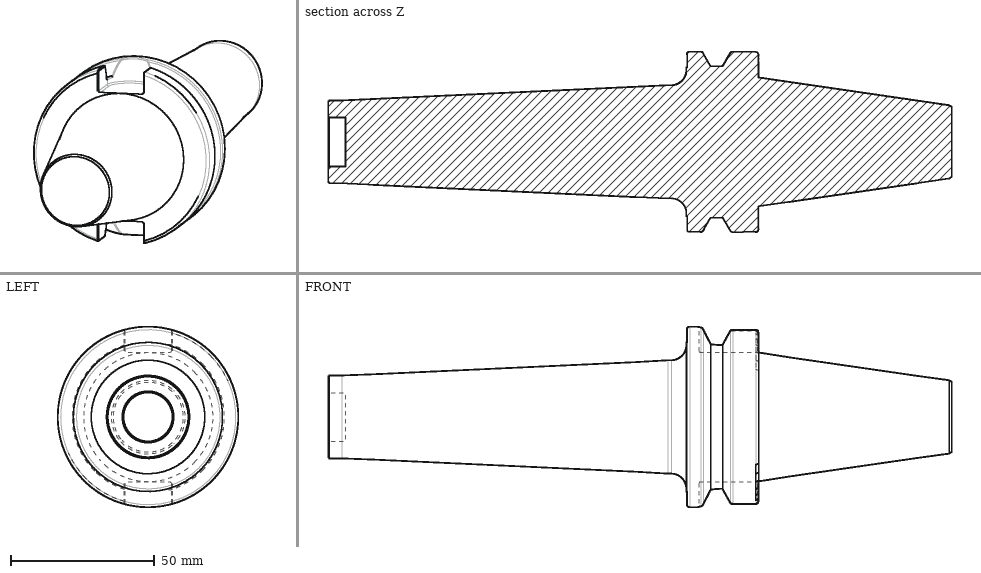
import cadquery as cq
import math

total_length = 217.4
taper_length = 65.4
nose_x = -total_length / 2
tail_x = total_length / 2
gauge_x = tail_x - taper_length

gauge_radius = 44.45 / 2
taper_slope = 7 / 24 / 2
tail_radius = gauge_radius - taper_length * taper_slope
tail_chamfer_length = 1.0
tail_chamfer_drop = 0.5

flange_radius = 63 / 2
flange_width = 25
flange_gap = 2
flange_fillet = 1.0
flange_back_x = gauge_x - flange_gap
flange_front_x = flange_back_x - flange_width
flange_back_taper_radius = gauge_radius + flange_gap * taper_slope

groove_centre_x = gauge_x - 16.6
groove_floor_radius = 53 / 2
groove_floor_width = 4.2
groove_flank_angle = 60

ring_radius = 26
ring_height = 0.2

nose_radius = 29 / 2
nose_chamfer = 0.5
nose_straight_length = 4.8
neck_radius = 39.6 / 2
neck_straight_length = 1.2
neck_fillet = 5.2

bore_radius = 17 / 2
bore_depth = 6
bore_chamfer = 0.5

slot_width = 16.1
slot_length = 20.9
slot_floor_height = 22.6
slot_floor_fillet = 0.6
slot_edge_break = 0.4

tolerance = 0.01


def make_body():
    """Revolve the profile of nose, bore, neck, flange and taper about X."""
    flank_rise = flange_radius - groove_floor_radius
    floor_half = groove_floor_width / 2
    mouth_half = floor_half + flank_rise / math.tan(math.radians(groove_flank_angle))
    ring_x = flange_front_x - ring_height
    fillet_x = ring_x - neck_fillet
    arc_mid_offset = neck_fillet * (1 - math.sqrt(0.5))
    profile = (
        cq.Workplane("XY")
        .moveTo(nose_x + bore_depth, 0)
        .lineTo(nose_x + bore_depth, bore_radius)
        .lineTo(nose_x + bore_chamfer, bore_radius)
        .lineTo(nose_x, bore_radius + bore_chamfer)
        .lineTo(nose_x, nose_radius - nose_chamfer)
        .lineTo(nose_x + nose_chamfer, nose_radius)
        .lineTo(nose_x + nose_straight_length, nose_radius)
        .lineTo(fillet_x - neck_straight_length, neck_radius)
        .lineTo(fillet_x, neck_radius)
        .threePointArc(
            (ring_x - arc_mid_offset, neck_radius + arc_mid_offset),
            (ring_x, neck_radius + neck_fillet),
        )
        .lineTo(ring_x, ring_radius)
        .lineTo(flange_front_x, ring_radius)
        .lineTo(flange_front_x, flange_radius)
        .lineTo(groove_centre_x - mouth_half, flange_radius)
        .lineTo(groove_centre_x - floor_half, groove_floor_radius)
        .lineTo(groove_centre_x + floor_half, groove_floor_radius)
        .lineTo(groove_centre_x + mouth_half, flange_radius)
        .lineTo(flange_back_x, flange_radius)
        .lineTo(flange_back_x, flange_back_taper_radius)
        .lineTo(tail_x - tail_chamfer_length, tail_radius + tail_chamfer_length * taper_slope)
        .lineTo(tail_x, tail_radius - tail_chamfer_drop)
        .lineTo(tail_x, 0)
        .close()
    )
    return profile.revolve(360, (0, 0, 0), (1, 0, 0))


def round_flange(body):
    """Round the four circular edges on the outside of the flange."""

    def on_flange_rim(edge):
        return edge.geomType() == "CIRCLE" and math.isclose(edge.radius(), flange_radius, abs_tol=tolerance)

    rims = body.edges().filter(on_flange_rim)
    return rims.fillet(flange_fillet)


def make_slot():
    """Drive slot on the +Z side: round front end, filleted floor, open at the back of the flange."""
    half_width = slot_width / 2
    arc_centre_x = flange_back_x - slot_length + half_width
    overrun_x = flange_back_x + flange_gap
    return (
        cq.Workplane("XY", origin=(0, 0, slot_floor_height))
        .moveTo(overrun_x, -half_width)
        .lineTo(arc_centre_x, -half_width)
        .threePointArc((arc_centre_x - half_width, 0), (arc_centre_x, half_width))
        .lineTo(overrun_x, half_width)
        .close()
        .extrude(flange_radius)
        .faces("<Z")
        .edges("not >X")
        .fillet(slot_floor_fillet)
    )


def make_corner_breaks():
    """Wedges that break the straight slot corners: along the rear rim and up the back face."""
    half_width = slot_width / 2
    rim_height = math.sqrt(flange_radius**2 - half_width**2)
    wedge_size = flange_radius - rim_height
    rim_base = rim_height - slot_edge_break
    rim_wedge = (
        cq.Workplane("YZ", origin=(groove_centre_x, 0, 0))
        .moveTo(half_width, rim_base)
        .lineTo(half_width + wedge_size, rim_base + wedge_size)
        .lineTo(half_width, rim_base + wedge_size)
        .close()
        .extrude(flange_back_x - groove_centre_x)
    )
    back_wedge = (
        cq.Workplane("XY", origin=(0, 0, slot_floor_height + slot_floor_fillet))
        .moveTo(flange_back_x, half_width)
        .lineTo(flange_back_x, half_width + slot_edge_break)
        .lineTo(flange_back_x - slot_edge_break, half_width)
        .close()
        .extrude(flange_radius - slot_floor_height)
    )
    one_side = rim_wedge.union(back_wedge)
    return one_side.union(one_side.mirror("XZ"))


def round_slot_front(body):
    """Round the curved front edges of both slots where they run out through the flange."""
    front_end_x = flange_back_x - slot_length
    arc_end_x = front_end_x + slot_width / 2

    def on_slot_front(edge):
        box = edge.BoundingBox()
        centre = edge.Center()
        inside_width = max(-box.ymin, box.ymax) < slot_width / 2 + tolerance
        along_front = front_end_x - tolerance < box.xmin and box.xmax < arc_end_x + tolerance
        above_floor = abs(centre.z) > slot_floor_height + 2 * slot_floor_fillet
        return inside_width and along_front and above_floor and edge.geomType() == "BSPLINE"

    return body.edges().filter(on_slot_front).fillet(slot_edge_break)


slot = make_slot()
flanged_body = round_flange(make_body())
slotted_body = round_slot_front(flanged_body.cut(slot).cut(slot.mirror("XY")))
corner_breaks = make_corner_breaks()
result = slotted_body.cut(corner_breaks).cut(corner_breaks.mirror("XY"))